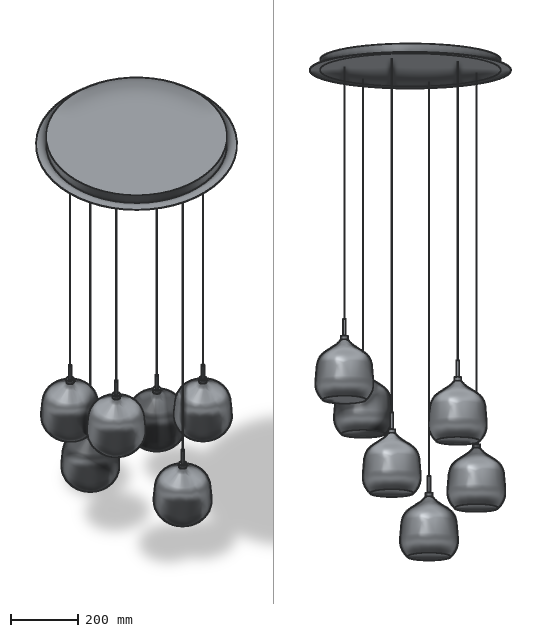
import cadquery as cq
import math

total_height = 1472.0
plate_diameter = 600.0
plate_thickness = 1.0
cover_diameter = 540.0
cover_height = 31.0

pendant_circle_radius = 203.0
pendant_count = 6
shade_bottoms = [120.0, 289.0, 120.0, 0.0, 364.0, 431.0]

cable_diameter = 2.2
stem_diameter = 9.5
stem_length = 52.0
collar_diameter = 22.0
collar_height = 12.0

shade_height = 181.0
shade_bottom_radius = 65.0
shade_top_radius = 12.0
shade_side_points = [
    (78.0, 16.0),
    (87.0, 40.0),
    (85.0, 77.0),
    (82.0, 109.0),
    (74.0, 130.0),
    (43.0, 155.0),
]

plate_bottom = total_height - cover_height - plate_thickness


def make_plate():
    return cq.Workplane("XY", origin=(0, 0, plate_bottom)).circle(plate_diameter / 2).extrude(plate_thickness)


def make_cover():
    cover_bottom = plate_bottom + plate_thickness
    return cq.Workplane("XY", origin=(0, 0, cover_bottom)).circle(cover_diameter / 2).extrude(cover_height)


def make_shade():
    profile = (
        cq.Workplane("XZ")
        .lineTo(shade_bottom_radius, 0)
        .spline([*shade_side_points, (shade_top_radius, shade_height)], includeCurrent=True)
        .lineTo(0, shade_height)
        .close()
    )
    return profile.revolve(360, (0, 0, 0), (0, 1, 0))


def make_rod(diameter, bottom, top):
    return cq.Workplane("XY", origin=(0, 0, bottom)).circle(diameter / 2).extrude(top - bottom)


def make_pendant(x, y, shade_bottom):
    """One lamp as a single solid: shade, collar, stem and the cable up to the plate."""
    collar_top = shade_height + collar_height
    stem_top = collar_top + stem_length
    cable_top = plate_bottom - shade_bottom
    pendant = (
        make_shade()
        .union(make_rod(collar_diameter, shade_height, collar_top))
        .union(make_rod(stem_diameter, collar_top, stem_top))
        .union(make_rod(cable_diameter, stem_top, cable_top))
    )
    return pendant.translate((x, y, shade_bottom))


plate = make_plate()
cover = make_cover()

pendants = []
for index, shade_bottom in enumerate(shade_bottoms):
    angle = 2 * math.pi * index / pendant_count
    pendant_x = pendant_circle_radius * math.cos(angle)
    pendant_y = pendant_circle_radius * math.sin(angle)
    pendants.append(make_pendant(pendant_x, pendant_y, shade_bottom).val())

result = cq.Compound.makeCompound([plate.val(), cover.val(), *pendants])